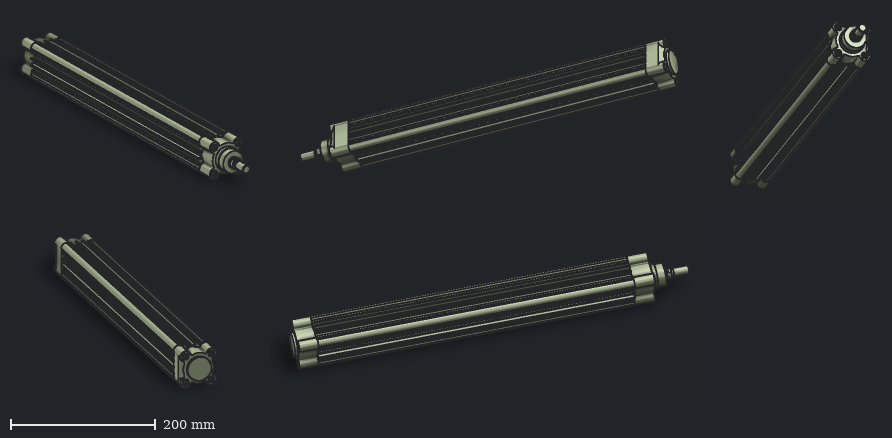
import cadquery as cq
import math


width = 54.0
half_width = width / 2
corner_radius = 8.0
lug_offset = half_width - corner_radius
SIDES = 4
QUARTER_TURN = 90

rear_face = 4.0
rear_joint = 31.0
front_joint = 480.0
front_face = 509.0
boss_end = 515.5
collar_end = 527.5
shoulder = 531.0
flats_start = 533.0
shank_end = 537.5
thread_start = 541.0
rod_end = 563.0

lip_width = 3.1
groove_outer_depth = 2.55
lip_drop = 1.0
slot_outer = 12.5
slot_floor = 21.0
slot_undercut = 2.0
lip_thickness = 3.0
horn_height = 4.2
horn_lean = math.radians(20)
horn_inner_root = 2.15
horn_thickness = 2.0
channel_crown = 0.15

bulge_radius = 19.0
bulge_height = 22.5
lug_fillet = 1.5
boss_radius = 17.5
collar_radius = 16.5
port_slope_height = 5.5
port_slope_length = 7.5
screw_head_radius = 4.8
screw_head_depth = 4.5
screw_hole_radius = 3.0
screw_hole_depth = 11.0
drill_half_angle = math.radians(59)

rod_radius = 8.0
shank_radius = 7.5
flats_width = 12.5
neck_radius = 5.0
thread_radius = 6.0
thread_chamfer = 0.85


def turned(points):
    """Solid of revolution about X from (x, radius) points that start and end on the axis."""
    return cq.Workplane("XZ").polyline(points).close().revolve(360, (0, 0, 0), (1, 0, 0))


def rod_of(radius, start_x, end_x):
    return turned([(start_x, 0), (start_x, radius), (end_x, radius), (end_x, 0)])


def section_at(x):
    """Workplane across the cylinder, with local x along Y and local y along Z."""
    return cq.Workplane("YZ", origin=(x, 0, 0))


def around_axis(body, index):
    return body.rotate((0, 0, 0), (1, 0, 0), index * QUARTER_TURN)


def make_barrel():
    length = front_joint - rear_joint
    barrel = section_at(rear_joint).rect(width, width).extrude(length)
    barrel = barrel.edges("|X").fillet(corner_radius)

    horn_base = half_width - horn_height
    horn_rise = horn_height * math.tan(horn_lean)
    horn_inner_tip = horn_inner_root + horn_rise
    horn_outer_root = horn_inner_root + horn_thickness
    horn_outer_tip = horn_outer_root + horn_rise
    channel = (
        section_at(rear_joint)
        .moveTo(-horn_inner_tip, half_width)
        .lineTo(-horn_inner_root, horn_base)
        .threePointArc((0, horn_base + channel_crown), (horn_inner_root, horn_base))
        .lineTo(horn_inner_tip, half_width)
        .close()
        .extrude(length)
    )
    cutters = [channel]

    lip_top = half_width - lip_drop
    groove_bottom = half_width - groove_outer_depth
    groove_lip = slot_outer + lip_width
    groove_apex = groove_lip + (lip_top - groove_bottom)
    groove_outer = groove_apex + groove_outer_depth
    lip_underside = lip_top - lip_thickness
    undercut_wall = slot_outer + slot_undercut
    for side in (-1, 1):
        slot = [
            (side * horn_outer_tip, half_width),
            (side * horn_outer_root, horn_base),
            (side * horn_outer_root, slot_floor),
            (side * undercut_wall, slot_floor),
            (side * undercut_wall, lip_underside),
            (side * slot_outer, lip_underside),
            (side * slot_outer, lip_top),
            (side * groove_lip, lip_top),
            (side * groove_apex, groove_bottom),
            (side * groove_outer, half_width),
        ]
        cutters.append(section_at(rear_joint).polyline(slot).close().extrude(length))

    for index in range(SIDES):
        for cutter in cutters:
            barrel = barrel.cut(around_axis(cutter, index))
    return barrel


def screw_hole(face_x, inward):
    """Stepped blind hole with a drill point in the lug at +Y +Z; inward is +1 or -1 along X."""
    cone_length = screw_hole_radius / math.tan(drill_half_angle)
    hole_bottom = face_x + inward * screw_hole_depth
    head_bottom = face_x + inward * screw_head_depth
    hole = turned([
        (face_x, 0),
        (face_x, screw_head_radius),
        (head_bottom, screw_head_radius),
        (head_bottom, screw_hole_radius),
        (hole_bottom, screw_hole_radius),
        (hole_bottom + inward * cone_length, 0),
    ])
    return hole.translate((0, lug_offset, lug_offset))


def is_lug_root(edge):
    """True for the inner corner line where a lug meets a bulged side."""
    center = edge.Center()
    from_lug_axis = math.hypot(abs(center.y) - lug_offset, abs(center.z) - lug_offset)
    on_lug = math.isclose(from_lug_axis, corner_radius, abs_tol=0.05)
    return on_lug and math.hypot(center.y, center.z) < math.hypot(lug_offset, lug_offset)


def port_wall(joint_x, face_x, inward):
    """Flat wall between the +Y lugs, sloped back towards the outer face of the cap."""
    outline = [
        (joint_x, 0),
        (joint_x, half_width),
        (face_x + inward * port_slope_length, half_width),
        (face_x, half_width - port_slope_height),
        (face_x, 0),
    ]
    wall = cq.Workplane("XY", origin=(0, 0, -lug_offset))
    return wall.polyline(outline).close().extrude(2 * lug_offset)


def make_cap_block(joint_x, face_x):
    """Cap between the barrel joint and its outer face: bulged sides, port wall and four lugs."""
    length = face_x - joint_x
    inward = -math.copysign(1, length)
    bulge_shift = bulge_height - bulge_radius
    bulge = section_at(joint_x).center(0, bulge_shift).circle(bulge_radius).extrude(length)
    lug = section_at(joint_x).center(lug_offset, lug_offset).circle(corner_radius).extrude(length)

    block = bulge
    for index in range(1, SIDES):
        block = block.union(around_axis(bulge, index))
    for index in range(SIDES):
        block = block.union(around_axis(lug, index))
    block = block.edges("|X").filter(is_lug_root).fillet(lug_fillet)

    block = block.union(port_wall(joint_x, face_x, inward))
    for index in range(SIDES):
        block = block.cut(around_axis(screw_hole(face_x, inward), index))
    return block


def make_rear_cap():
    return make_cap_block(rear_joint, rear_face).union(rod_of(boss_radius, 0, rear_face))


def make_front_cap():
    nose = turned([
        (front_face, 0),
        (front_face, boss_radius),
        (boss_end, boss_radius),
        (boss_end, collar_radius),
        (collar_end, collar_radius),
        (collar_end, 0),
    ])
    bore = rod_of(rod_radius, front_joint, collar_end)
    return make_cap_block(front_joint, front_face).union(nose).cut(bore)


def make_piston_rod():
    rod = turned([
        (front_joint, 0),
        (front_joint, rod_radius),
        (shoulder, rod_radius),
        (shoulder, shank_radius),
        (shank_end, shank_radius),
        (shank_end, neck_radius),
        (thread_start, neck_radius),
        (thread_start, thread_radius),
        (rod_end - thread_chamfer, thread_radius),
        (rod_end, thread_radius - thread_chamfer),
        (rod_end, 0),
    ])
    flats_length = shank_end - flats_start
    flat_center = (flats_start + flats_length / 2, 0, 0)
    flats_waste = cq.Workplane().box(flats_length, 2 * rod_radius, 2 * rod_radius)
    flats_waste = flats_waste.cut(cq.Workplane().box(flats_length, 2 * rod_radius, flats_width))
    return rod.cut(flats_waste.translate(flat_center))


barrel = make_barrel()
rear_cap = make_rear_cap()
front_cap = make_front_cap()
piston_rod = make_piston_rod()

result = cq.Compound.makeCompound([
    barrel.val(),
    rear_cap.val(),
    front_cap.val(),
    piston_rod.val(),
])